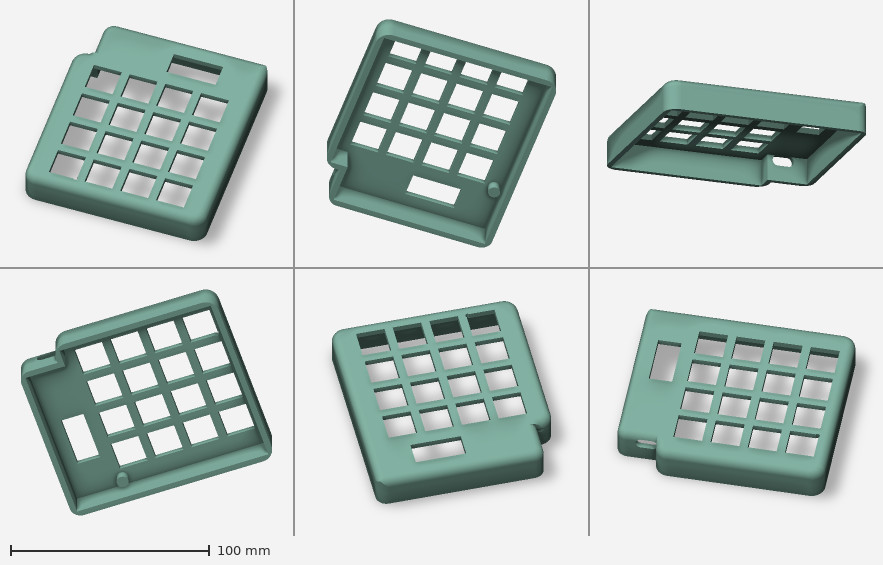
import cadquery as cq
import math

length_x = 95.8
length_y = 107.5
height = 16.5
wall = 3.0
top_thickness = 3.0
top_fillet = 4.0

step_x = 9.1
step_y = 86.4

main_corner_radius = 7.0
rear_corner_radius = 5.6

key_count = 4
key_size = 14.7
key_pitch_x = 18.9
key_pitch_y = 19.0
first_key_x = 19.3
first_key_y = 14.2

window_length = 26.0
window_width = 11.9
window_x = 61.0
window_y = 91.9

slot_length = 11.3
slot_height = 5.6
slot_y = 91.8
slot_z = 11.1

relief_diameter = 2.4
relief_x = 26.0
relief_y = 7.5

post_diameter = 6.0
post_length = 4.9
post_x = 88.6
post_y = 78.9


def stepped_block(inset, block_height):
    """Block with the stepped outline, pulled in by the inset on every side."""
    left, right = inset, length_x - inset
    front, rear = inset, length_y - inset
    outline = [
        (left, front),
        (right, front),
        (right, rear),
        (step_x + inset, rear),
        (step_x + inset, step_y - inset),
        (left, step_y - inset),
    ]
    return cq.Workplane("XY").polyline(outline).close().extrude(block_height)


def round_upright_edge(block, x, y, radius):
    """Fillet the one upright edge that stands at (x, y)."""
    margin = 0.1
    near_edge = cq.selectors.BoxSelector(
        (x - margin, y - margin, -margin),
        (x + margin, y + margin, height + margin),
    )
    return block.edges("|Z").edges(near_edge).fillet(radius)


def rear_corner_trim():
    """Waste outside the rounding of the +X, +Y corner, which cuts through the mitred top fillet."""
    radius = rear_corner_radius
    center_x, center_y = length_x - radius, length_y - radius
    corner = cq.Workplane("XY").rect(radius, radius, centered=False).extrude(height)
    rounded = cq.Workplane("XY").circle(radius).extrude(height)
    return corner.cut(rounded).translate((center_x, center_y, 0))


def step_infill():
    """Rectangular patch that brings the inner corner of the step back to full height."""
    patch_length = step_x + top_fillet - main_corner_radius
    patch_x = main_corner_radius + patch_length / 2
    patch_y = step_y - top_fillet / 2
    return (
        cq.Workplane("XY", origin=(patch_x, patch_y, height - top_fillet))
        .rect(patch_length, top_fillet)
        .extrude(top_fillet)
    )


def step_runout():
    """Half-turn cut that ends the top fillet in a round hollow at the side of the step."""
    base = height - top_fillet
    arc_inset = top_fillet * (1 - math.sqrt(0.5))
    arc_rise = top_fillet * math.sqrt(0.5)
    return (
        cq.Workplane("XZ", origin=(main_corner_radius, step_y, 0))
        .moveTo(0, base)
        .threePointArc((arc_inset, base + arc_rise), (top_fillet, height))
        .lineTo(0, height)
        .close()
        .revolve(180, (0, 0, 0), (0, -1, 0))
    )


def case_exterior():
    block = stepped_block(0, height)
    for x, y in [(0, 0), (length_x, 0), (0, step_y)]:
        block = round_upright_edge(block, x, y, main_corner_radius)
    block = round_upright_edge(block, step_x, length_y, rear_corner_radius)
    block = block.faces(">Z").edges().fillet(top_fillet)
    block = block.cut(rear_corner_trim())
    return block.union(step_infill()).cut(step_runout())


def key_openings():
    grid_x = first_key_x + (key_count - 1) * key_pitch_x / 2
    grid_y = first_key_y + (key_count - 1) * key_pitch_y / 2
    return (
        cq.Workplane("XY", origin=(grid_x, grid_y, 0))
        .rarray(key_pitch_x, key_pitch_y, key_count, key_count)
        .rect(key_size, key_size)
        .extrude(height)
    )


def display_window():
    return (
        cq.Workplane("XY", origin=(window_x, window_y, 0))
        .rect(window_length, window_width)
        .extrude(height)
    )


def cable_slot():
    return (
        cq.Workplane("YZ", origin=(0, slot_y, slot_z))
        .slot2D(slot_length, slot_height)
        .extrude(step_x + wall)
    )


def relief_hole():
    return (
        cq.Workplane("XY", origin=(relief_x, relief_y, 0))
        .circle(relief_diameter / 2)
        .extrude(height)
    )


def make_case():
    cavity = stepped_block(wall, height - top_thickness)
    return (
        case_exterior()
        .cut(cavity)
        .cut(key_openings())
        .cut(display_window())
        .cut(cable_slot())
        .cut(relief_hole())
    )


def make_post():
    """Round post whose upper end touches the underside of the top plate."""
    post_bottom = height - top_thickness - post_length
    return (
        cq.Workplane("XY", origin=(post_x, post_y, post_bottom))
        .circle(post_diameter / 2)
        .extrude(post_length)
    )


case = make_case()
post = make_post()

result = cq.Compound.makeCompound([case.val(), post.val()])